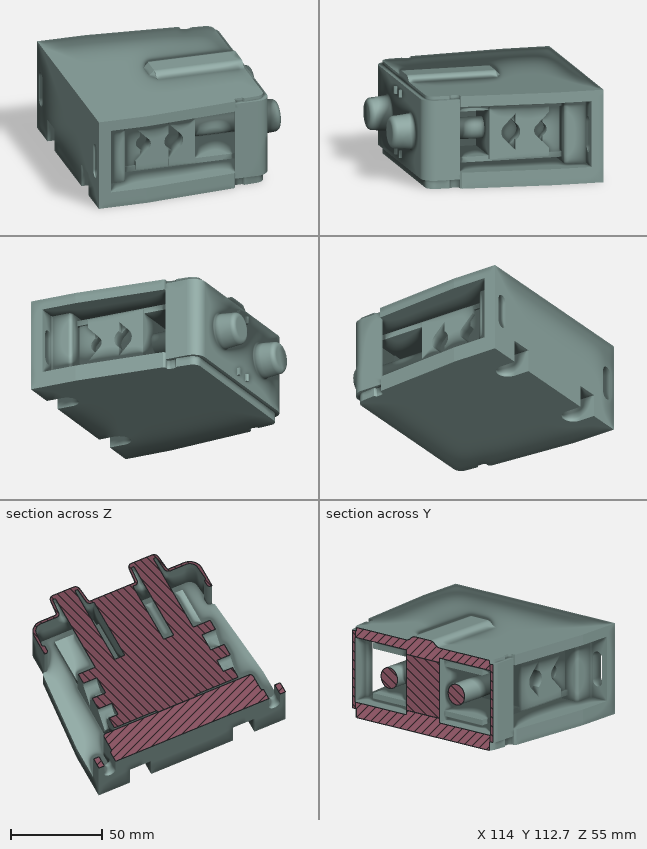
import cadquery as cq
import math

housing_width = 114.0
housing_height = 52.0
housing_back = 97.9
straight_depth = 27.5
side_slope = math.tan(math.radians(5))
shoulder_y = 80.0
seat_corner_radius = 4.8
shoulder_chamfer = 0.9

window_bottom = 9.0
window_top = 45.9
mid_z = (window_bottom + window_top) / 2
front_wall = 7.0
block_half_width = 45.6
block_back = 19.0
block_corner_radius = 1.9
block_root_radius = 1.0
keel_half_width = 12.0
keel_front = 26.1

slot_x = 50.2
slot_width = 6.6
slot_height = 20.0
notch_x = 31.5
notch_width = 13.0
notch_height = 13.0
notch_straight = 9.1
rib_half_width = 12.0
rib_top_half_width = 5.5
rib_height = 3.0
rib_flank_radius = 4.2
rib_end = 47.8
rib_tip = 44.9
rib_tip_half_width = 10.1

cover_half_width = 51.2
cover_back = 100.5
cover_inner_back = 98.7
cover_half_height = 22.5
cover_corner_radius = 7.4
arm_thickness = 1.4
bump_end = 85.7
bump_flat_end = 84.8
bump_flat_start = 81.7
bump_height = 1.3
bump_nose_radius = 2.0
seat_half_width = cover_half_width - arm_thickness

shelf_half_width = 39.0
shelf_outer = 15.8
shelf_inner = 12.8
shelf_back = 92.1
web_half_width = 12.0
base_half_width = 37.8
base_front = 20.0
tongue_line = 29.6

jaw_half_width = 40.4
jaw_half_height = 14.6
jaw_back = 60.4
jaw_split = 45.4
jaw_front = 26.6
joint_gap = 0.1
joint_depth = 0.5
tongue_depth = 4.1
bore_depth = 8.2
large_bore_y = 48.2
large_bore_radius = 5.4
small_bore_y = 31.1
small_bore_radius = 3.9
rod_x = 23.9
rod_radius = 6.0
knob_base_radius = 9.8
knob_length = 12.2
knob_tip_radius = 9.0
knob_tip_fillet = 2.7
knob_foot_fillet = 0.9
hollow_mouth_radius = 10.7
hollow_mouth_fillet = 2.5
hollow_tip_radius = 7.5
hollow_end = 110.0
lug_x = 4.9
lug_z = 17.0
lug_width = 1.6
lug_length = 4.1
lug_height = 1.7
lug_chamfer = 0.7


def box(x0, x1, y0, y1, z0, z1):
    """A block given by its limits along each axis."""
    return cq.Workplane("XY").box(x1 - x0, y1 - y0, z1 - z0, centered=False).translate((x0, y0, z0))


def beam(half_width, y0, y1, z0, z1):
    """A block centred on the middle plane."""
    return box(-half_width, half_width, y0, y1, z0, z1)


def seat(back):
    """Body of the seat up to a given back: tapered sides with a bump groove, rounded back corners."""
    back_half_width = seat_half_width - (back - bump_end) * side_slope
    bump_half_width = seat_half_width - bump_height
    plan = (
        cq.Workplane("XY")
        .moveTo(-seat_half_width, straight_depth)
        .lineTo(-seat_half_width, shoulder_y)
        .radiusArc((-bump_half_width, bump_flat_start), -bump_nose_radius)
        .lineTo(-bump_half_width, bump_flat_end)
        .lineTo(-seat_half_width, bump_end)
        .lineTo(-back_half_width, back)
        .lineTo(back_half_width, back)
        .lineTo(seat_half_width, bump_end)
        .lineTo(bump_half_width, bump_flat_end)
        .lineTo(bump_half_width, bump_flat_start)
        .radiusArc((seat_half_width, shoulder_y), -bump_nose_radius)
        .lineTo(seat_half_width, straight_depth)
        .close()
    )
    return plan.extrude(housing_height).edges("|Z and >Y").fillet(seat_corner_radius)


def housing_block():
    """Tapered outer block, and behind its shoulders the seat, slightly deeper where the cover lies."""
    half = housing_width / 2
    shoulder = half - (shoulder_y - straight_depth) * side_slope
    body = (
        cq.Workplane("XY")
        .polyline([(-half, 0), (half, 0), (half, straight_depth), (shoulder, shoulder_y),
                   (-shoulder, shoulder_y), (-half, straight_depth)])
        .close()
        .extrude(housing_height)
    )
    for side in (-1, 1):
        corner = (
            cq.Workplane("XY")
            .polyline([(side * shoulder, shoulder_y),
                       (side * (shoulder - shoulder_chamfer), shoulder_y),
                       (side * (shoulder + shoulder_chamfer * side_slope), shoulder_y - shoulder_chamfer)])
            .close()
            .extrude(window_bottom)
        )
        body = body.cut(corner)
    collar_slab = beam(housing_width, 0, cover_back, mid_z - cover_half_height, mid_z + cover_half_height)
    return body.union(seat(housing_back)).union(seat(cover_inner_back).intersect(collar_slab))


def side_window():
    """Opening through both sides and the back, leaving a wall block and the keels."""
    opening = beam(housing_width, front_wall, cover_back, window_bottom, window_top)
    block = beam(block_half_width, front_wall, block_back, window_bottom, window_top)
    block = block.edges("|Z and >Y").fillet(block_corner_radius)
    opening = opening.cut(block)
    for x in (-block_half_width, block_half_width):
        root = cq.selectors.NearestToPointSelector((x, front_wall, mid_z))
        opening = opening.edges(root).fillet(block_root_radius)
    shelf_bottom = mid_z - shelf_outer
    shelf_top = mid_z + shelf_outer
    opening = opening.cut(beam(keel_half_width, keel_front, cover_back, window_bottom, shelf_bottom))
    return opening.cut(beam(keel_half_width, keel_front, cover_back, shelf_top, window_top))


def front_slots():
    """Upright slots through the front wall."""
    return (
        cq.Workplane("XZ", origin=(0, 0, housing_height / 2))
        .pushPoints([(-slot_x, 0), (slot_x, 0)])
        .slot2D(slot_height, slot_width, 90)
        .extrude(-block_back)
    )


def bottom_notches():
    """Round-ended notches in the lower front edge."""
    notches = cq.Workplane("XY").pushPoints([(-notch_x, notch_straight), (notch_x, notch_straight)])
    notches = notches.circle(notch_width / 2).extrude(notch_height)
    for x in (-notch_x, notch_x):
        notches = notches.union(
            box(x - notch_width / 2, x + notch_width / 2, 0, notch_straight, 0, notch_height))
    return notches


def rib_tip_solid():
    """Faceted front end of the top rib."""
    top = housing_height + rib_height
    outer_left = (-rib_tip_half_width, rib_end, housing_height)
    outer_right = (rib_tip_half_width, rib_end, housing_height)
    tip_left = (-rib_top_half_width, rib_tip, housing_height)
    tip_right = (rib_top_half_width, rib_tip, housing_height)
    top_left = (-rib_top_half_width, rib_end, top)
    top_right = (rib_top_half_width, rib_end, top)
    facets = [
        (outer_left, tip_left, tip_right, outer_right),
        (outer_left, outer_right, top_right, top_left),
        (tip_left, top_left, top_right, tip_right),
        (outer_left, top_left, tip_left),
        (outer_right, tip_right, top_right),
    ]
    faces = [cq.Face.makeFromWires(cq.Wire.makePolygon([cq.Vector(*p) for p in facet], close=True))
             for facet in facets]
    return cq.Workplane(cq.Solid.makeSolid(cq.Shell.makeShell(faces)))


def top_rib():
    """Rib with S-shaped flanks: a concave foot and a convex shoulder joined at 45 degrees."""
    r = rib_flank_radius
    run = r * math.sin(math.pi / 4)
    rise = r * (1 - math.cos(math.pi / 4))
    half_run = r * math.sin(math.pi / 8)
    half_rise = r * (1 - math.cos(math.pi / 8))
    base = housing_height
    top = housing_height + rib_height
    foot_x = rib_half_width - run
    shoulder_x = rib_top_half_width + run
    rib = (
        cq.Workplane("XZ", origin=(0, housing_back, 0))
        .moveTo(-rib_half_width, base)
        .threePointArc((half_run - rib_half_width, base + half_rise), (-foot_x, base + rise))
        .lineTo(-shoulder_x, top - rise)
        .threePointArc((-rib_top_half_width - half_run, top - half_rise), (-rib_top_half_width, top))
        .lineTo(rib_top_half_width, top)
        .threePointArc((rib_top_half_width + half_run, top - half_rise), (shoulder_x, top - rise))
        .lineTo(foot_x, base + rise)
        .threePointArc((rib_half_width - half_run, base + half_rise), (rib_half_width, base))
        .close()
        .extrude(housing_back - rib_end)
    )
    return rib.union(rib_tip_solid())


def make_housing():
    housing = housing_block().cut(side_window()).cut(front_slots()).cut(bottom_notches())
    return housing.union(top_rib())


def cover():
    """Cover wrapped around the back, with a snap bump at each arm end."""
    shell = (
        beam(cover_half_width, shoulder_y, cover_back, mid_z - cover_half_height, mid_z + cover_half_height)
        .edges("|Z and >Y")
        .fillet(cover_corner_radius)
    )
    return shell.cut(seat(cover_inner_back))


def frame():
    """Two shelves on a middle web that reaches back to the cover, and the fixed base."""
    shelf_low = mid_z - shelf_outer
    shelf_high = mid_z + shelf_outer
    body = beam(web_half_width, block_back, cover_inner_back, shelf_low, shelf_high)
    for z0, z1 in ((shelf_low, mid_z - shelf_inner), (mid_z + shelf_inner, shelf_high)):
        body = body.union(beam(shelf_half_width, block_back, shelf_back, z0, z1))
    return body.union(
        beam(base_half_width, base_front, jaw_split, mid_z - shelf_inner, mid_z + shelf_inner))


def side_pocket(points, depth):
    """An outline in Y and height above the middle, sunk into both jaw side faces."""
    pocket = (
        cq.Workplane("YZ", origin=(-jaw_half_width, 0, mid_z)).polyline(points).close().extrude(depth)
    )
    return pocket.union(pocket.mirror("YZ"))


def vee_half_height(bore_y, radius, y):
    """Half height of a 45-degree V, tangent to a bore, where it reaches a given y."""
    return radius * math.sqrt(2) + bore_y - y


def jaw_bore(bore_y, radius):
    """Square bore standing on its corner, rounded fore and aft."""
    corner = radius * math.sqrt(2)
    bore = side_pocket(
        [(bore_y - corner, 0), (bore_y, corner), (bore_y + corner, 0), (bore_y, -corner)], bore_depth)
    return bore.edges("|X and (>Y or <Y)").fillet(radius)


def jaw_vee(bore_y, radius, back, front, depth):
    """Stretch of the V that opens forwards from a bore."""
    back_half = vee_half_height(bore_y, radius, back)
    front_half = vee_half_height(bore_y, radius, front)
    return side_pocket(
        [(back, back_half), (front, front_half), (front, -front_half), (back, -back_half)], depth)


def jaws():
    """Clamping jaws on both sides, parted by a fine groove."""
    low = mid_z - jaw_half_height
    high = mid_z + jaw_half_height
    body = beam(jaw_half_width, jaw_front, jaw_back, low, high)
    core = beam(jaw_half_width - joint_depth, jaw_split - joint_gap, jaw_split, low, high)
    joint = beam(jaw_half_width, jaw_split - joint_gap, jaw_split, low, high).cut(core)
    return body.cut(joint)


def revolved(profile):
    """A profile turned about the Y axis and placed on both screw axes."""
    turned = profile.revolve(360, (0, 0, 0), (0, 1, 0)).translate((0, 0, mid_z))
    return turned.translate((-rod_x, 0, 0)).union(turned.translate((rod_x, 0, 0)))


def knobs():
    """Tapered knobs with a flared foot and a rounded tip."""
    tip_y = cover_back + knob_length
    return revolved(
        cq.Workplane("XY")
        .moveTo(0, cover_back)
        .lineTo(-knob_base_radius - knob_foot_fillet, cover_back)
        .radiusArc((-knob_base_radius, cover_back + knob_foot_fillet), -knob_foot_fillet)
        .lineTo(-knob_tip_radius, tip_y - knob_tip_fillet)
        .radiusArc((knob_tip_fillet - knob_tip_radius, tip_y), knob_tip_fillet)
        .lineTo(0, tip_y)
        .close()
    )


def knob_hollows():
    """Tapered hollows with flared mouths, open to the inside of the cover."""
    throat_radius = hollow_mouth_radius - hollow_mouth_fillet
    return revolved(
        cq.Workplane("XY")
        .moveTo(0, cover_inner_back)
        .lineTo(-hollow_mouth_radius, cover_inner_back)
        .radiusArc((-throat_radius, cover_inner_back + hollow_mouth_fillet), -hollow_mouth_fillet)
        .lineTo(-hollow_tip_radius, hollow_end)
        .lineTo(0, hollow_end)
        .close()
    )


def rods():
    """Clamp screws from the jaws through the cover to the ends of the knob hollows."""
    return (
        cq.Workplane("XZ", origin=(0, jaw_split, mid_z))
        .pushPoints([(-rod_x, 0), (rod_x, 0)])
        .circle(rod_radius)
        .extrude(jaw_split - hollow_end)
    )


def lugs():
    """Four small lugs on the back of the cover, bevelled on their inner edges."""
    lug = box(lug_x - lug_width / 2, lug_x + lug_width / 2, cover_back, cover_back + lug_height,
              mid_z + lug_z - lug_length / 2, mid_z + lug_z + lug_length / 2)
    lug = lug.edges("|Z and >Y and <X").chamfer(lug_chamfer)
    pair = lug.union(lug.mirror("YZ"))
    return pair.union(pair.mirror("XY", (0, 0, mid_z)))


def make_carriage():
    base_depth = jaw_half_width - base_half_width
    body = frame().union(jaws())
    body = body.cut(jaw_bore(large_bore_y, large_bore_radius))
    body = body.cut(jaw_vee(large_bore_y, large_bore_radius, large_bore_y, jaw_split, tongue_depth))
    body = body.cut(jaw_bore(small_bore_y, small_bore_radius))
    body = body.cut(jaw_vee(small_bore_y, small_bore_radius, small_bore_y, tongue_line, tongue_depth))
    body = body.cut(jaw_vee(small_bore_y, small_bore_radius, tongue_line, jaw_front, base_depth))
    back = cover().union(knobs()).cut(knob_hollows()).union(lugs())
    return body.union(back).union(rods())


housing = make_housing()
carriage = make_carriage()
result = cq.Compound.makeCompound([housing.val(), carriage.val()])